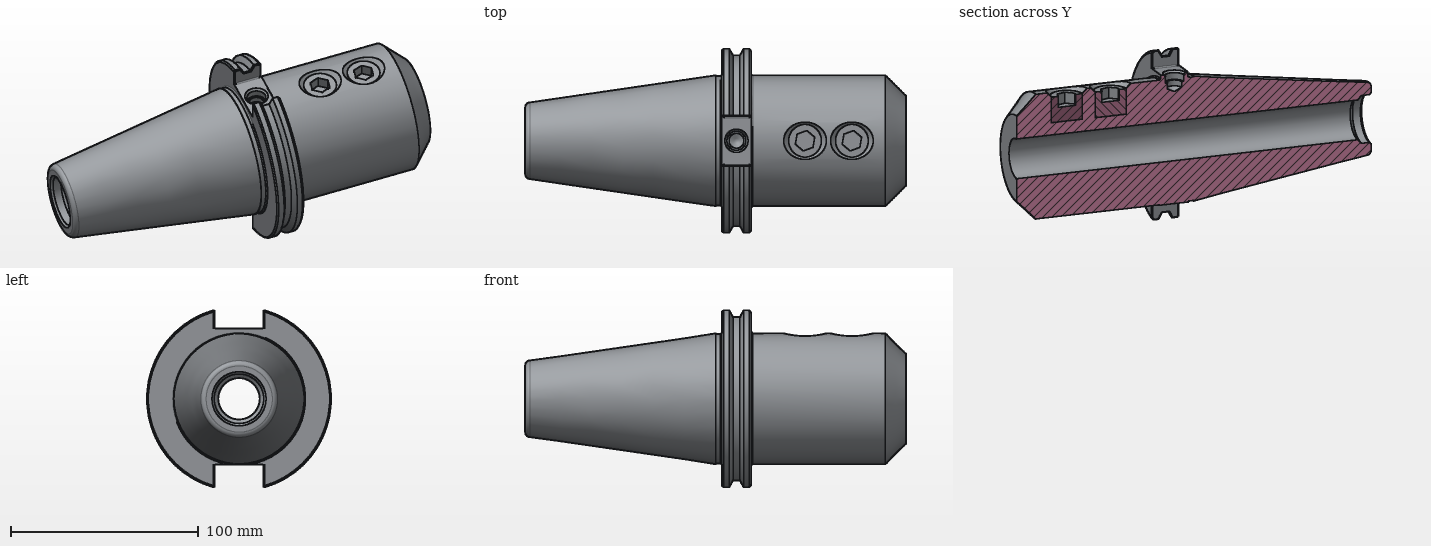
import cadquery as cq
import math

total_length = 203.2

gauge_diameter = 70.0
gauge_x = 101.5
taper_rate = 7 / 24
pull_end_diameter = gauge_diameter - gauge_x * taper_rate
pull_end_round = 2.8

relief_diameter = 69.3
relief_fillet = 0.8

flange_diameter = 98.3
flange_start_x = 105.0
flange_end_x = 120.7
front_edge_chamfer = 0.8
rear_edge_chamfer = 1.2
groove_center_x = 112.8
groove_floor_width = 3.7
groove_depth = 3.5
groove_flank_angle = 30.0
groove_flank_width = groove_depth * math.tan(math.radians(groove_flank_angle))

body_diameter = gauge_diameter
body_root_fillet = 0.8
nose_chamfer = 11.0

bore_diameter = 22.0
counterbore_diameter = 26.5
counterbore_depth = 5.7
counterbore_mouth_chamfer = 1.2
bore_seat_length = (counterbore_diameter - bore_diameter) / 2

slot_width = 26.0
upper_slot_floor = 37.5
lower_slot_floor = 35.2
slot_edge_chamfer = 0.6
slot_floor_fillet = 0.6
pick_margin = 0.02

coolant_x = groove_center_x
coolant_mouth_diameter = 12.4
coolant_counterbore_diameter = 10.2
coolant_counterbore_depth = 4.9
coolant_drill_diameter = 8.0
coolant_drill_depth = 8.1
drill_point_angle = 130.0

screw_diameter = 17.5
screw_length = 14.2
screw_xs = [149.4, 174.3]
screw_top_z = 32.3
screw_bottom_z = screw_top_z - screw_length
countersink_diameter = 22.8
hex_across_flats = 9.5
hex_depth = 6.0
hex_turn = 20.0


def revolve_about_x(profile):
    """Turn a closed (X, radius) outline about the part's axis."""
    return profile.close().revolve(360, (0, 0, 0), (1, 0, 0))


def revolve_about_vertical(center_x, points):
    """Turn a closed (radius, Z) outline about the vertical line through center_x."""
    outline = cq.Workplane("XZ").polyline(points).close()
    return outline.revolve(360, (0, 0, 0), (0, 1, 0)).translate((center_x, 0, 0))


def make_taper():
    """Cone with a rounded pull end, and the relief between the cone and the flange."""
    relief = relief_diameter / 2
    profile = (
        cq.Workplane("XY")
        .lineTo(0, pull_end_diameter / 2)
        .lineTo(gauge_x, gauge_diameter / 2)
        .lineTo(gauge_x, relief)
        .lineTo(flange_start_x - relief_fillet, relief)
        .radiusArc((flange_start_x, relief + relief_fillet), -relief_fillet)
        .lineTo(flange_start_x, 0)
    )
    return revolve_about_x(profile).faces("<X").edges().fillet(pull_end_round)


def make_flange():
    """Disc with chamfered edges and a V-groove around its rim."""
    rim = flange_diameter / 2
    groove_floor = rim - groove_depth
    floor_start_x = groove_center_x - groove_floor_width / 2
    floor_end_x = groove_center_x + groove_floor_width / 2
    profile = (
        cq.Workplane("XY")
        .moveTo(flange_start_x, 0)
        .lineTo(flange_start_x, rim - front_edge_chamfer)
        .lineTo(flange_start_x + front_edge_chamfer, rim)
        .lineTo(floor_start_x - groove_flank_width, rim)
        .lineTo(floor_start_x, groove_floor)
        .lineTo(floor_end_x, groove_floor)
        .lineTo(floor_end_x + groove_flank_width, rim)
        .lineTo(flange_end_x - rear_edge_chamfer, rim)
        .lineTo(flange_end_x, rim - rear_edge_chamfer)
        .lineTo(flange_end_x, 0)
    )
    return revolve_about_x(profile)


def edges_in_box(wall_y, low_z, high_z):
    """Select the edges centred in the plane of one slot wall, between two heights."""
    return cq.selectors.BoxSelector(
        (0, wall_y - pick_margin, low_z), (total_length, wall_y + pick_margin, high_z)
    )


def cut_slot(holder, floor_distance, side):
    """Cut one drive slot, edges chamfered; side is +1 for the upper slot, -1 for the lower one."""
    slot_height = flange_diameter / 2
    slot = cq.Workplane("XY").box(total_length, slot_width, slot_height).translate(
        (flange_start_x, 0, side * (floor_distance + slot_height / 2))
    )
    holder = holder.cut(slot)
    floor_z = side * floor_distance
    for wall_y in (-slot_width / 2, slot_width / 2):
        wall_edges = edges_in_box(wall_y, floor_z + side * pick_margin, side * flange_diameter)
        holder = holder.edges(wall_edges).chamfer(slot_edge_chamfer)
        corner_edge = edges_in_box(wall_y, floor_z - pick_margin, floor_z + pick_margin)
        holder = holder.edges(corner_edge).fillet(slot_floor_fillet)
    return holder


def make_body():
    """Cylinder with a chamfered nose, reaching through the flange and filleted against it."""
    radius = body_diameter / 2
    profile = (
        cq.Workplane("XY")
        .moveTo(gauge_x, 0)
        .lineTo(gauge_x, relief_diameter / 2)
        .lineTo(flange_end_x, relief_diameter / 2)
        .lineTo(flange_end_x, radius + body_root_fillet)
        .radiusArc((flange_end_x + body_root_fillet, radius), -body_root_fillet)
        .lineTo(total_length - nose_chamfer, radius)
        .lineTo(total_length, radius - nose_chamfer)
        .lineTo(total_length, 0)
    )
    return revolve_about_x(profile)


def make_bore():
    """Through bore with a chamfered counterbore and a conical seat at the pull end."""
    counterbore = counterbore_diameter / 2
    profile = (
        cq.Workplane("XY")
        .lineTo(0, counterbore + counterbore_mouth_chamfer)
        .lineTo(counterbore_mouth_chamfer, counterbore)
        .lineTo(counterbore_depth, counterbore)
        .lineTo(counterbore_depth + bore_seat_length, bore_diameter / 2)
        .lineTo(total_length, bore_diameter / 2)
        .lineTo(total_length, 0)
    )
    return revolve_about_x(profile)


def make_coolant_hole():
    """Blind stepped hole with a countersunk mouth and a drill point."""
    mouth = coolant_mouth_diameter / 2
    counterbore = coolant_counterbore_diameter / 2
    drill = coolant_drill_diameter / 2
    step_z = upper_slot_floor - coolant_counterbore_depth
    drill_end_z = upper_slot_floor - coolant_drill_depth
    point_z = drill_end_z - drill / math.tan(math.radians(drill_point_angle / 2))
    points = [
        (0, upper_slot_floor),
        (mouth, upper_slot_floor),
        (counterbore, upper_slot_floor - (mouth - counterbore)),
        (counterbore, step_z),
        (drill, step_z),
        (drill, drill_end_z),
        (0, point_z),
    ]
    return revolve_about_vertical(coolant_x, points)


def make_screw_hole(center_x):
    """Hole for one clamping screw, opening in a 90 degree countersink above the screw."""
    radius = screw_diameter / 2
    mouth_z = body_diameter / 2
    mouth = countersink_diameter / 2
    points = [
        (0, screw_bottom_z),
        (radius, screw_bottom_z),
        (radius, screw_top_z),
        (mouth, mouth_z),
        (0, mouth_z),
    ]
    return revolve_about_vertical(center_x, points)


def make_holder():
    """Taper, flange and body as one solid, with the slots, bore and holes cut in it."""
    holder = make_taper().union(make_flange()).union(make_body())
    holder = cut_slot(holder, upper_slot_floor, 1)
    holder = cut_slot(holder, lower_slot_floor, -1)
    holder = holder.cut(make_bore()).cut(make_coolant_hole())
    for center_x in screw_xs:
        holder = holder.cut(make_screw_hole(center_x))
    return holder


def make_screw(center_x):
    """Headless clamping screw with a hexagon socket in its top."""
    screw = cq.Workplane("XY").circle(screw_diameter / 2).extrude(screw_length)
    hex_corner_diameter = hex_across_flats / math.cos(math.pi / 6)
    socket = (
        cq.Workplane("XY")
        .polygon(6, hex_corner_diameter)
        .extrude(hex_depth)
        .rotate((0, 0, 0), (0, 0, 1), hex_turn)
        .translate((0, 0, screw_length - hex_depth))
    )
    return screw.cut(socket).translate((center_x, 0, screw_bottom_z))


holder = make_holder()
screws = [make_screw(center_x) for center_x in screw_xs]

result = cq.Compound.makeCompound([holder.val(), *[screw.val() for screw in screws]])